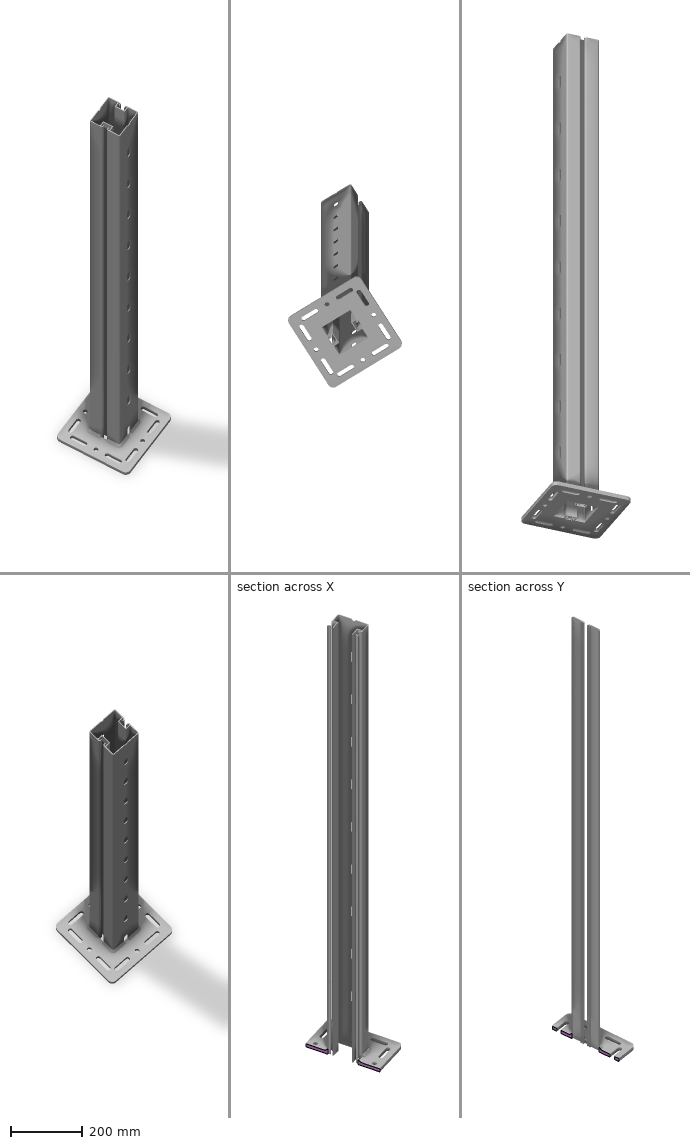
import cadquery as cq

height = 1512.0

plate_side = 240.0
plate_thickness = 12.0
plate_corner_radius = 15.0
anchor_width = 13.5
anchor_line = 95.0
anchor_slot_length = 55.0
anchor_slot_offset = 57.0

post_side = 100.0
wall = 2.5
post_corner_radius = 5.0
post_half = post_side / 2

slit_width = 14.0
lip_bend_radius = 5.0
lip_depth = 9.0
channel_width = 33.0
channel_depth = 20.0
rail_mouth = slit_width + 2 * lip_bend_radius

wall_slot_width = 15.0
wall_slot_length = 41.0
wall_slot_intervals = 10
first_slot_height = 29.0
last_slot_overshoot = 15.0
wall_slot_pitch = (height + last_slot_overshoot - first_slot_height) / wall_slot_intervals

weld_leg = 8.0


def square_prism(side, corner_radius, length):
    """Square bar with rounded upright edges, standing on Z = 0."""
    return cq.Workplane("XY").rect(side, side).extrude(length).edges("|Z").fillet(corner_radius)


def upright_block(x_size, y_start, y_end):
    """Full-height block centred on X that spans two Y positions."""
    return (
        cq.Workplane("XY")
        .center(0, (y_start + y_end) / 2)
        .rect(x_size, y_end - y_start)
        .extrude(height)
    )


def make_plate():
    plate = square_prism(plate_side, plate_corner_radius, plate_thickness)
    opening = square_prism(post_side, post_corner_radius, plate_thickness)
    holes = (
        cq.Workplane("XY")
        .polarArray(anchor_line, 0, 360, 4)
        .circle(anchor_width / 2)
        .extrude(plate_thickness)
    )
    side_slots = (
        cq.Workplane("XY")
        .pushPoints([(-anchor_slot_offset, anchor_line), (anchor_slot_offset, anchor_line)])
        .slot2D(anchor_slot_length, anchor_width)
        .extrude(plate_thickness)
    )
    plate = plate.cut(opening).cut(holes)
    for side in range(4):
        plate = plate.cut(side_slots.rotate((0, 0, 0), (0, 0, 1), 90 * side))
    return plate


def make_weld():
    """Bead sloping at 45 degrees from the plate top to the post wall, open at the rail mouths."""
    outer_side = post_side + 2 * weld_leg
    outline = cq.Sketch().rect(outer_side, outer_side).vertices().fillet(post_corner_radius + weld_leg)
    bead = cq.Workplane("XY").placeSketch(outline).extrude(weld_leg, taper=45)
    core = square_prism(post_side, post_corner_radius, weld_leg)
    mouths = cq.Workplane("XY").rect(rail_mouth, outer_side).extrude(weld_leg)
    return bead.cut(core).cut(mouths).translate((0, 0, plate_thickness))


def make_lip():
    """Lip on the +X side of the -Y slit, bent inwards from the wall around a quarter turn."""
    outer_face = -post_half
    half_slit = slit_width / 2
    bend_end = outer_face + lip_bend_radius
    lip_end = outer_face + lip_depth
    inner_radius = lip_bend_radius - wall
    return (
        cq.Workplane("XY")
        .moveTo(rail_mouth / 2, outer_face)
        .radiusArc((half_slit, bend_end), lip_bend_radius)
        .lineTo(half_slit, lip_end)
        .lineTo(half_slit + wall, lip_end)
        .lineTo(half_slit + wall, bend_end)
        .radiusArc((rail_mouth / 2, outer_face + wall), -inner_radius)
        .close()
        .extrude(height)
    )


def make_channel():
    """Three-sided channel closing the back of the -Y slit, seated in the wall."""
    outer_face = -post_half
    floor = outer_face + channel_depth
    channel = upright_block(channel_width, outer_face, floor)
    cavity = upright_block(channel_width - 2 * wall, outer_face, floor - wall)
    return channel.cut(cavity)


def make_post():
    bore = square_prism(post_side - 2 * wall, post_corner_radius - wall, height)
    mouths = upright_block(rail_mouth, -post_half, post_half)
    post = square_prism(post_side, post_corner_radius, height).cut(bore).cut(mouths)
    lip = make_lip()
    rail = make_channel().union(lip).union(lip.mirror("YZ"))
    return post.union(rail).union(rail.mirror("XZ"))


def make_wall_slots():
    """Upright slots that pass through both X walls and the weld beside them."""
    reach = post_side + 2 * weld_leg
    centres = [
        (0, first_slot_height + index * wall_slot_pitch)
        for index in range(wall_slot_intervals + 1)
    ]
    return (
        cq.Workplane("YZ")
        .pushPoints(centres)
        .slot2D(wall_slot_length, wall_slot_width, 90)
        .extrude(reach / 2, both=True)
    )


slotted_post = make_post().union(make_weld()).cut(make_wall_slots())
result = slotted_post.union(make_plate())